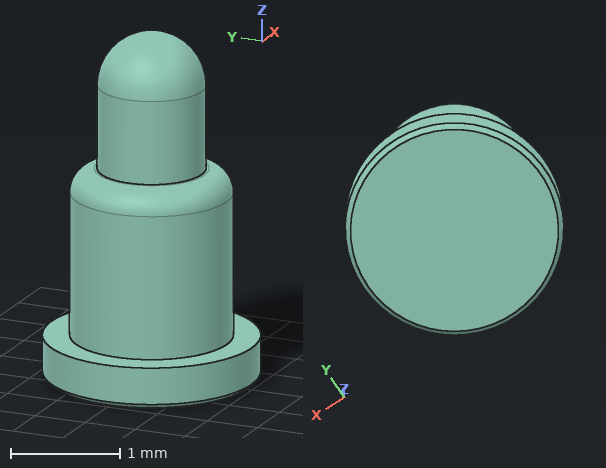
import cadquery as cq


flange_diameter = 2.0
flange_thickness = 0.4
flange_chamfer = 0.05

barrel_diameter = 1.5
barrel_top = 2.0
barrel_fillet = 0.225

plunger_diameter = 1.0
overall_height = 3.3
tip_radius = plunger_diameter / 2
tip_center_height = overall_height - tip_radius


def make_flange():
    """Round foot with a chamfered lower edge."""
    disc = cq.Workplane("XY").circle(flange_diameter / 2).extrude(flange_thickness)
    return disc.faces("<Z").edges().chamfer(flange_chamfer)


def make_barrel():
    """Cylinder standing on the flange, with a rounded upper rim."""
    barrel_height = barrel_top - flange_thickness
    barrel = (
        cq.Workplane("XY")
        .workplane(offset=flange_thickness)
        .circle(barrel_diameter / 2)
        .extrude(barrel_height)
    )
    return barrel.faces(">Z").edges().fillet(barrel_fillet)


def make_plunger():
    """Straight pin rising from the barrel, ending in a hemisphere; revolved half profile."""
    tip_midpoint_offset = tip_radius / 2**0.5
    return (
        cq.Workplane("XZ")
        .moveTo(0, barrel_top)
        .lineTo(tip_radius, barrel_top)
        .lineTo(tip_radius, tip_center_height)
        .threePointArc(
            (tip_midpoint_offset, tip_center_height + tip_midpoint_offset),
            (0, overall_height),
        )
        .close()
        .revolve(360, (0, 0, 0), (0, 1, 0))
    )


result = make_flange().union(make_barrel()).union(make_plunger())